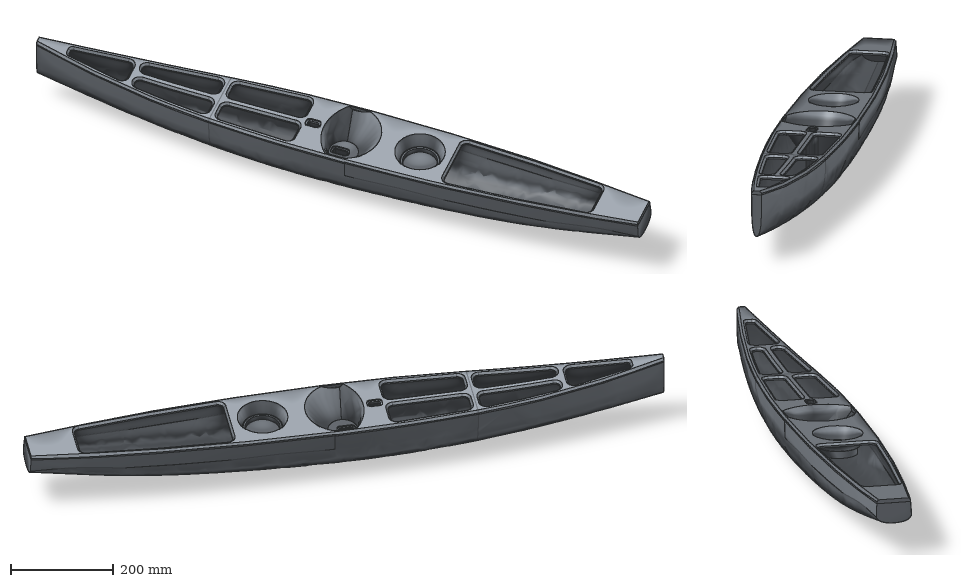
import cadquery as cq
import math

LENGTH = 1271.0
HALF_BEAM = 76.0
BOW_HALF_BEAM = 10.0
TRANSOM_HALF_BEAM = 38.0
BEAM_START = 635.0
BEAM_END = 699.0
BOW_PLAN_POWER = 1.9
KEEL_LOW_X = 585.0
KEEL_LOW_Z = 3.0
BOW_KEEL_RISE = 51.0
TRANSOM_KEEL_RISE = 67.0
TRANSOM_RAKE = 4.0
SECTION_TOP = 153.0
BILGE_POWER = 4.7
TRANSOM_BILGE_POWER = 11.0
SECTION_STEPS = 7
SECTION_SPACING = 1.5
JOINT_X = 381.0
BOW_STATIONS = [0.0, 95.0, 191.0, 286.0, JOINT_X]
MAIN_STATIONS = [JOINT_X, 509.0, BEAM_START, BEAM_END, 890.0, 1080.0, LENGTH]

DECK_Z = 118.0
BOW_DECK_Z = 146.0
DECK_THICKNESS = 8.0
RIM_CHAMFER = 4.5
TOP_FACE_MIN_NORMAL_Z = 0.95
SKIN = 5.0
STEM_SOLID = 10.0

CHINE_START_X = 670.0
CHINE_START_Z = 76.0
CHINE_END_Z = 84.0
CHINE_LEAN = 4.0
CHINE_STATIONS = [CHINE_START_X, 814.0, 966.0, 1119.0, LENGTH]

GUNWALE_MARGIN = 14.0
CENTRE_RIB_HALF = 9.0
OPENING_RADIUS = 11.0
FORE_TIP_RADIUS = 5.0
OPENING_STEPS = 4
FORE_OPENING = (66.0, 192.0)
PAIRED_OPENINGS = [(210.0, 371.0), (392.0, 553.0)]
AFT_OPENING = (868.0, 1170.0)

BOWL_X = 640.0
BOWL_FLOOR_RADIUS = 29.0
BOWL_AFT_RADIUS = 75.0
BOWL_FORE_REACH = 41.0
BOWL_CORNER_RATIO = 0.1
BOWL_DEPTH = 57.0
BOWL_HALF_WIDTH = 69.0

CUP_X = 800.0
CUP_RIM_RADIUS = 50.0
CUP_SHOULDER_RADIUS = 38.0
CUP_FLOOR_RADIUS = 34.0
CUP_SHOULDER_DEPTH = 25.0
CUP_DEPTH = 35.0

SLOT_HALF_WIDTH = 6.0
SLOT_RADIUS = 4.0
SOCKET_WALL = 4.0
SLOT_STEP = 4.0
SLOT_STEP_DEPTH = 3.0
DECK_SLOT = (565.0, 587.0)
BOWL_SLOT = (618.0, 647.0)
SOCKET_FLOOR_Z = 8.0
SOCKETS = [
    (DECK_SLOT, DECK_Z, DECK_THICKNESS),
    (BOWL_SLOT, DECK_Z - BOWL_DEPTH, SKIN),
]


def aft_ratio(x):
    """Zero up to the end of the full beam, one at the transom."""
    return max(x - BEAM_END, 0) / (LENGTH - BEAM_END)


def half_beam(x):
    if x < BEAM_START:
        ratio = (BEAM_START - x) / BEAM_START
        return HALF_BEAM - (HALF_BEAM - BOW_HALF_BEAM) * ratio**BOW_PLAN_POWER
    return HALF_BEAM - (HALF_BEAM - TRANSOM_HALF_BEAM) * aft_ratio(x) ** 2


def keel_height(x):
    if x < KEEL_LOW_X:
        return KEEL_LOW_Z + BOW_KEEL_RISE * (1 - x / KEEL_LOW_X) ** 2
    ratio = (x - KEEL_LOW_X) / (LENGTH - KEEL_LOW_X)
    return KEEL_LOW_Z + TRANSOM_KEEL_RISE * ratio**2


def bilge_power(x):
    return BILGE_POWER + (TRANSOM_BILGE_POWER - BILGE_POWER) * aft_ratio(x) ** 2


def half_width(x, z):
    """Half the outer width of the hull at height z."""
    depth_ratio = (SECTION_TOP - z) / (SECTION_TOP - keel_height(x))
    return half_beam(x) * math.sqrt(1 - depth_ratio ** bilge_power(x))


def section(x, inset):
    """Closed cross-section at x, with its sides and keel moved inward by inset."""
    beam = half_beam(x) - inset
    keel = keel_height(x) + inset
    side = []
    for step in range(SECTION_STEPS + 1):
        angle = math.pi / 2 * (step / SECTION_STEPS) ** SECTION_SPACING
        depth = (SECTION_TOP - keel) * math.sin(angle) ** (2 / bilge_power(x))
        side.append(cq.Vector(x, beam * math.cos(angle), SECTION_TOP - depth))
    mirrored = [cq.Vector(p.x, -p.y, p.z) for p in side]
    edges = [
        cq.Edge.makeSpline(side),
        cq.Edge.makeSpline(mirrored[::-1]),
        cq.Edge.makeLine(mirrored[0], side[0]),
    ]
    return cq.Wire.assembleEdges(edges)


def lofted(stations, inset=0.0):
    return cq.Workplane(cq.Solid.makeLoft([section(x, inset) for x in stations]))


def below_sheer(drop):
    """Everything below the deck line lowered by drop."""
    deck = DECK_Z - drop
    return (
        cq.Workplane("XZ", origin=(0, SECTION_TOP, 0))
        .moveTo(0, BOW_DECK_Z - drop)
        .lineTo(0, -13)
        .lineTo(LENGTH, -13)
        .lineTo(LENGTH, deck)
        .lineTo(JOINT_X, deck)
        .tangentArcPoint((0, BOW_DECK_Z - drop), relative=False)
        .close()
        .extrude(2 * SECTION_TOP)
    )


def behind_transom():
    """Wedge that rakes the transom forward towards the deck."""
    keel = keel_height(LENGTH)
    slope = TRANSOM_RAKE / (DECK_Z - keel)
    top_x = LENGTH - slope * (SECTION_TOP + 13 - keel)
    return (
        cq.Workplane("XZ", origin=(0, SECTION_TOP, 0))
        .polyline([(LENGTH, keel), (top_x, SECTION_TOP + 13), (LENGTH + 13, SECTION_TOP + 13), (LENGTH + 13, keel)])
        .close()
        .extrude(2 * SECTION_TOP)
    )


def chine_ratio(x):
    """Zero up to the front of the chine panels, one at the stern."""
    return max(x - CHINE_START_X, 0) / (LENGTH - CHINE_START_X)


def sheer_height(x):
    """Height of the deck: level aft of the joint, an arc that rises to the bow in front of it."""
    run = max(JOINT_X - x, 0)
    rise = BOW_DECK_Z - DECK_Z
    radius = (JOINT_X**2 + rise**2) / (2 * rise)
    return DECK_Z + radius - math.sqrt(radius**2 - run**2)


def chine_wedge():
    """Sliver outside the +Y chine panel, whose top leans inward more and more towards the stern."""
    wires = []
    for x in CHINE_STATIONS:
        chine_z = CHINE_START_Z + (CHINE_END_Z - CHINE_START_Z) * chine_ratio(x)
        lean_to_top = CHINE_LEAN * chine_ratio(x) * (SECTION_TOP - chine_z) / (DECK_Z - chine_z)
        chine_y = half_width(x, chine_z)
        points = [
            cq.Vector(x, chine_y, chine_z),
            cq.Vector(x, half_beam(x) - lean_to_top, SECTION_TOP),
            cq.Vector(x, chine_y + 13, SECTION_TOP),
            cq.Vector(x, chine_y + 13, chine_z),
        ]
        wires.append(cq.Wire.makePolygon(points, close=True))
    return cq.Workplane(cq.Solid.makeLoft(wires))


def gunwale_bevel(stations):
    """Three-sided cutter that bevels the +Y edge of the deck."""
    wires = []
    for x in stations:
        z = sheer_height(x)
        edge_y = half_width(x, z) - CHINE_LEAN * chine_ratio(x)
        points = [
            cq.Vector(x, edge_y - 2 * RIM_CHAMFER, z + RIM_CHAMFER),
            cq.Vector(x, edge_y + RIM_CHAMFER, z - 2 * RIM_CHAMFER),
            cq.Vector(x, edge_y + RIM_CHAMFER, z + RIM_CHAMFER),
        ]
        wires.append(cq.Wire.makePolygon(points, close=True))
    return cq.Workplane(cq.Solid.makeLoft(wires))


def without_chine_wedges(form, inset):
    wedge = chine_wedge().translate((0, -inset, 0))
    return form.cut(wedge, clean=False).cut(wedge.mirror("XZ"), clean=False)


def outer_form():
    form = lofted(BOW_STATIONS).union(lofted(MAIN_STATIONS), clean=False)
    form = without_chine_wedges(form, 0)
    return form.cut(behind_transom(), clean=False)


def inner_form():
    stations = [STEM_SOLID] + BOW_STATIONS[1:] + MAIN_STATIONS[1:-1] + [LENGTH - STEM_SOLID]
    return without_chine_wedges(lofted(stations, SKIN), SKIN)


def deck_opening(x_range, inner_edge):
    """Cutter between two stations, from inner_edge in Y to the margin inside the +Y gunwale.

    Without an inner_edge the cutter spans both sides of the centreline.
    """
    start, end = x_range
    xs = [start + (end - start) * step / OPENING_STEPS for step in range(OPENING_STEPS + 1)]
    gunwale = [(x, half_beam(x) - GUNWALE_MARGIN) for x in xs]
    outline = cq.Workplane("XY").moveTo(*gunwale[0]).spline(gunwale[1:], includeCurrent=True)
    if inner_edge is None:
        far_side = [(x, -y) for x, y in reversed(gunwale)]
        outline = outline.lineTo(*far_side[0]).spline(far_side[1:], includeCurrent=True)
    else:
        outline = outline.lineTo(end, inner_edge).lineTo(start, inner_edge)
    return outline.close().extrude(SECTION_TOP)


def deck_openings():
    fore = deck_opening(FORE_OPENING, None).edges("|Z and >X").fillet(OPENING_RADIUS)
    fore = fore.edges("|Z and <X").fillet(FORE_TIP_RADIUS)
    aft = deck_opening(AFT_OPENING, None).edges("|Z").fillet(OPENING_RADIUS)
    cutters = [fore, aft]
    for x_range in PAIRED_OPENINGS:
        opening = deck_opening(x_range, CENTRE_RIB_HALF).edges("|Z").fillet(OPENING_RADIUS)
        cutters += [opening, opening.mirror("XZ")]
    return cutters


def bowl_outline(z, radius, fore_reach):
    """Circle aft of the bowl corners, and an arc that reaches fore_reach in front of them."""
    corner_x = -radius * BOWL_CORNER_RATIO
    corner_y = math.sqrt(radius**2 - corner_x**2)
    outline = (
        cq.Workplane("XY", origin=(BOWL_X, 0, z))
        .moveTo(corner_x, -corner_y)
        .threePointArc((radius, 0), (corner_x, corner_y))
        .threePointArc((-fore_reach, 0), (corner_x, -corner_y))
        .close()
    )
    return outline.ctx.pendingWires[0]


def bowl_form(outset, floor_z):
    """Bowl from the deck to floor_z: a cone aft of its corners, steeper and flatter in front."""
    floor_radius = BOWL_FLOOR_RADIUS + outset
    floor = bowl_outline(floor_z, floor_radius, floor_radius)
    rim = bowl_outline(DECK_Z, BOWL_AFT_RADIUS + outset, BOWL_FORE_REACH + outset)
    return cq.Workplane(cq.Solid.makeLoft([floor, rim], True))


def bowl_cavity():
    width_limit = cq.Workplane("XY", origin=(BOWL_X, 0, 0)).box(
        4 * BOWL_AFT_RADIUS, 2 * BOWL_HALF_WIDTH, 4 * SECTION_TOP
    )
    return bowl_form(0, DECK_Z - BOWL_DEPTH).intersect(width_limit)


def cup_form(outset):
    """Cup from the deck down: a cone onto a shoulder, then a short straight well."""
    return (
        cq.Workplane("XZ")
        .moveTo(0, DECK_Z)
        .lineTo(CUP_RIM_RADIUS + outset, DECK_Z)
        .lineTo(CUP_SHOULDER_RADIUS + outset, DECK_Z - CUP_SHOULDER_DEPTH)
        .lineTo(CUP_FLOOR_RADIUS + outset, DECK_Z - CUP_SHOULDER_DEPTH)
        .lineTo(CUP_FLOOR_RADIUS + outset, DECK_Z - CUP_DEPTH - outset)
        .lineTo(0, DECK_Z - CUP_DEPTH - outset)
        .close()
        .revolve(360, (0, 0, 0), (0, 1, 0))
        .translate((CUP_X, 0, 0))
    )


def slot_block(x_range, outset, bottom, top):
    """Upright block with rounded corners around one slot."""
    start, end = x_range
    length = end - start + 2 * outset
    width = 2 * (SLOT_HALF_WIDTH + outset)
    return (
        cq.Workplane("XY", origin=((start + end) / 2, 0, bottom))
        .rect(length, width)
        .extrude(top - bottom)
        .edges("|Z")
        .fillet(SLOT_RADIUS + outset)
    )


def opening_edges(plate):
    """Edges of the holes in the top faces, without the outside edges and the joint line."""
    rims = []
    for face in plate.Faces():
        if face.normalAt().z > TOP_FACE_MIN_NORMAL_Z:
            for wire in face.innerWires():
                rims += wire.Edges()
    return rims


def make_deck(outer, inner):
    deck = outer.intersect(below_sheer(0), clean=False).cut(below_sheer(DECK_THICKNESS), clean=False)
    for cutter in deck_openings():
        deck = deck.cut(cutter, clean=False)
    plate = deck.val().Solids()[0]
    deck = cq.Workplane(plate.chamfer(RIM_CHAMFER, None, opening_edges(plate)))
    for stations in (BOW_STATIONS, MAIN_STATIONS):
        bevel = gunwale_bevel(stations)
        deck = deck.cut(bevel, clean=False).cut(bevel.mirror("XZ"), clean=False)

    below_plate_middle = below_sheer(DECK_THICKNESS / 2)
    bowl = bowl_form(SKIN, DECK_Z - BOWL_DEPTH - SKIN).intersect(inner).intersect(below_plate_middle)
    cup = cup_form(SKIN).intersect(below_plate_middle)
    deck = deck.union(bowl, clean=False).union(cup, clean=False)
    deck = deck.cut(bowl_cavity(), clean=False).cut(cup_form(0), clean=False)
    for x_range, mouth_z, _ in SOCKETS:
        deck = deck.cut(slot_block(x_range, 0, 0, SECTION_TOP), clean=False)
        recess = slot_block(x_range, SLOT_STEP, mouth_z - SLOT_STEP_DEPTH, SECTION_TOP)
        deck = deck.cut(recess, clean=False)
    return deck


def make_hull(outer, inner):
    hull = outer.intersect(below_sheer(DECK_THICKNESS), clean=False).cut(inner, clean=False)
    for x_range, mouth_z, plate in SOCKETS:
        hull = hull.union(slot_block(x_range, SOCKET_WALL, 0, mouth_z - plate), clean=False)
        hull = hull.cut(slot_block(x_range, 0, SOCKET_FLOOR_Z, SECTION_TOP), clean=False)
    return hull


outer = outer_form()
inner = inner_form()
deck = make_deck(outer, inner)
hull = make_hull(outer, inner)

result = cq.Compound.makeCompound([hull.solids().val(), deck.solids().val()])